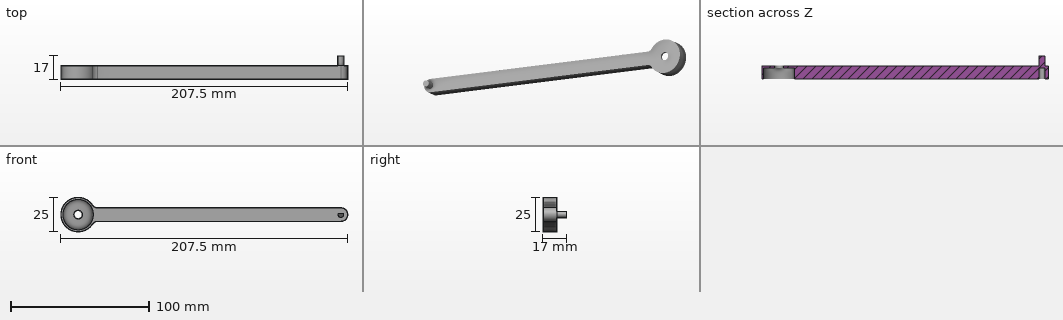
import cadquery as cq
import math

thickness = 10.0
cup_radius = 12.5
cup_bore_diameter = 22.0
cup_floor = 2.0
axle_hole_diameter = 6.0

arm_length = 190.0
arm_half_width = 5.0
neck_radius = 4.0

pin_diameter = 4.7
pin_length = 7.0

socket_diameter = 4.0
socket_flat_height = 0.9
socket_depth = 8.0


def prism(sketch, start, length):
    """Extrude an XZ sketch along +Y from Y = start."""
    return sketch.extrude(-length).translate((0, start, 0))


def cylinder(x, diameter, start, length):
    """Cylinder along Y whose axis passes through (x, Z = 0)."""
    return prism(cq.Workplane("XZ").center(x, 0).circle(diameter / 2), start, length)


def make_body():
    """Cup disc, blended neck and round-ended arm in one outline."""
    center_distance = cup_radius + neck_radius
    neck_z = arm_half_width + neck_radius
    neck_x = math.sqrt(center_distance**2 - neck_z**2)
    rim_x = neck_x * cup_radius / center_distance
    rim_z = neck_z * cup_radius / center_distance
    mid_angle = (math.atan2(-neck_z, -neck_x) - math.pi / 2) / 2
    mid_x = neck_x + neck_radius * math.cos(mid_angle)
    mid_z = neck_z + neck_radius * math.sin(mid_angle)
    outline = (
        cq.Workplane("XZ")
        .moveTo(rim_x, rim_z)
        .threePointArc((-cup_radius, 0), (rim_x, -rim_z))
        .threePointArc((mid_x, -mid_z), (neck_x, -arm_half_width))
        .lineTo(arm_length, -arm_half_width)
        .threePointArc((arm_length + arm_half_width, 0), (arm_length, arm_half_width))
        .lineTo(neck_x, arm_half_width)
        .threePointArc((mid_x, mid_z), (rim_x, rim_z))
        .close()
    )
    return prism(outline, 0, thickness)


def make_socket():
    """Blind D-shaped socket with its flat on the upper side."""
    radius = socket_diameter / 2
    half_flat = math.sqrt(radius**2 - socket_flat_height**2)
    outline = (
        cq.Workplane("XZ")
        .center(arm_length, 0)
        .moveTo(-half_flat, socket_flat_height)
        .threePointArc((0, -radius), (half_flat, socket_flat_height))
        .close()
    )
    return prism(outline, 0, socket_depth)


cup_bore = cylinder(0, cup_bore_diameter, 0, thickness - cup_floor)
axle_hole = cylinder(0, axle_hole_diameter, 0, thickness)
pin = cylinder(arm_length, pin_diameter, thickness, pin_length)

result = make_body().union(pin).cut(cup_bore).cut(axle_hole).cut(make_socket())